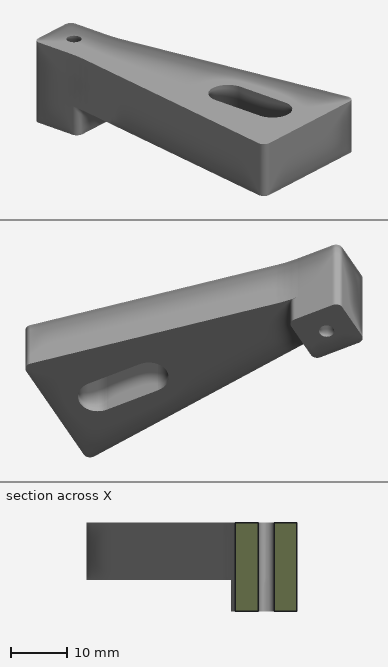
import cadquery as cq

ARM_THICKNESS = 10.16
FOOT_HEIGHT = 15.75

ARM_ANGLE = 22.5
NECK_WIDTH = 10.16
TIP_WIDTH = 25.4
TIP_DISTANCE = 54.1
CORNER_RADIUS = 1.27
KNEE_RADIUS = 25.4

PIN_HOLE_DIAMETER = 2.71
SLOT_WIDTH = 7.04
SLOT_TRAVEL = 10.16
SLOT_DISTANCE = 40.48

HALF_NECK = NECK_WIDTH / 2
HALF_TIP = TIP_WIDTH / 2


def arm():
    """Flared plate with its top at Z = 0, symmetric about the X axis."""
    outline = [
        (-HALF_NECK, -HALF_NECK),
        (HALF_NECK, -HALF_NECK),
        (TIP_DISTANCE, -HALF_TIP),
        (TIP_DISTANCE, HALF_TIP),
        (HALF_NECK, HALF_NECK),
        (-HALF_NECK, HALF_NECK),
    ]
    plate = cq.Workplane("XY").polyline(outline).close().extrude(-ARM_THICKNESS)
    plate = plate.edges("|Z and (<X or >X)").fillet(CORNER_RADIUS)
    knees = cq.selectors.BoxSelector(
        (0, -HALF_NECK - CORNER_RADIUS, -ARM_THICKNESS),
        (NECK_WIDTH, HALF_NECK + CORNER_RADIUS, 0),
    )
    return plate.edges("|Z").edges(knees).fillet(KNEE_RADIUS)


def foot():
    """Square block under the narrow end, centred on the pin hole."""
    block = cq.Workplane("XY").rect(NECK_WIDTH, NECK_WIDTH).extrude(-FOOT_HEIGHT)
    return block.edges("|Z").fillet(CORNER_RADIUS)


def pin_hole():
    return cq.Workplane("XY").circle(PIN_HOLE_DIAMETER / 2).extrude(-FOOT_HEIGHT)


def slot():
    outline = cq.Workplane("XY").center(SLOT_DISTANCE, 0).slot2D(SLOT_TRAVEL + SLOT_WIDTH, SLOT_WIDTH)
    return outline.extrude(-ARM_THICKNESS)


body = arm().union(foot()).cut(pin_hole()).cut(slot())

result = body.rotate((0, 0, 0), (0, 0, 1), ARM_ANGLE).translate((0, 0, FOOT_HEIGHT))